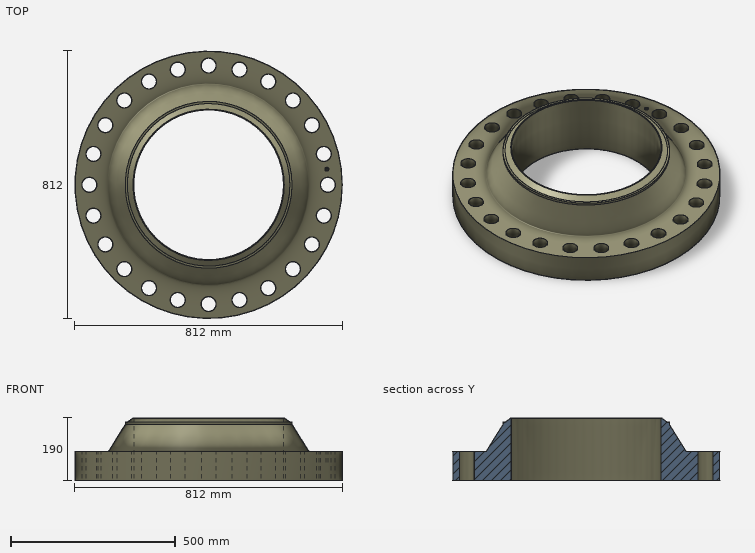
import cadquery as cq

flange_radius = 406.0
flange_thickness = 88.5

overall_height = 190.0
hub_base_radius = 305.0
neck_radius = 253.5
neck_bottom_height = 171.0
bevel_bottom_height = 178.0
bevel_bottom_radius = 247.0
bevel_top_radius = 230.0
bore_radius = 227.5
hub_root_fillet = 5.0

bolt_count = 24
bolt_circle_radius = 362.0
bolt_hole_diameter = 45.0
bolt_pitch_angle = 360 / bolt_count

small_hole_diameter = 6.5
small_hole_depth = 41.0
seat_diameter = 12.0
seat_depth = 1.0
small_hole_angle = bolt_pitch_angle / 2


def revolved_body():
    """Flange, hub and neck turned about Z, with a fillet at the hub root."""
    profile = (
        cq.Workplane("XZ")
        .moveTo(bore_radius, 0)
        .lineTo(flange_radius, 0)
        .lineTo(flange_radius, flange_thickness)
        .lineTo(hub_base_radius, flange_thickness)
        .lineTo(neck_radius, neck_bottom_height)
        .lineTo(neck_radius, bevel_bottom_height)
        .lineTo(bevel_bottom_radius, bevel_bottom_height)
        .lineTo(bevel_top_radius, overall_height)
        .lineTo(bore_radius, overall_height)
        .close()
    )
    turned = profile.revolve(360, (0, 0, 0), (0, 1, 0))
    root_edge = cq.selectors.RadiusNthSelector(-2)
    return turned.edges(root_edge).fillet(hub_root_fillet)


def bolt_holes():
    """Ring of holes passing through the flange, the first one on +X."""
    return (
        cq.Workplane("XY")
        .polarArray(bolt_circle_radius, 0, 360, bolt_count)
        .circle(bolt_hole_diameter / 2)
        .extrude(flange_thickness)
    )


def sunk_cylinder(diameter, depth):
    """Cylinder reaching down from the upper face of the flange at the small hole."""
    return (
        cq.Workplane("XY", origin=(0, 0, flange_thickness))
        .polarArray(bolt_circle_radius, small_hole_angle, 360, 1)
        .circle(diameter / 2)
        .extrude(-depth)
    )


body = revolved_body().cut(bolt_holes())
body = body.cut(sunk_cylinder(small_hole_diameter, small_hole_depth))
result = body.cut(sunk_cylinder(seat_diameter, seat_depth))